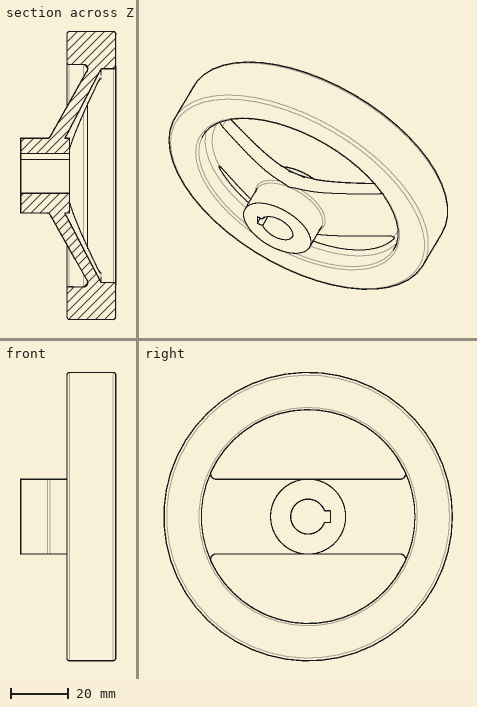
import cadquery as cq
import math

rim_radius = 50.0
rim_inner_radius = 38.5
rim_front = 16.0
rim_back = 33.0
rim_outer_fillet = 1.0
rim_inner_fillet = 0.8

hub_radius = 13.0
hub_back = 17.0
bore_radius = 6.0
key_width = 4.0
key_reach = 7.7

web_front_at_hub = 9.9
web_back_at_hub = 15.4
web_front_slope = 0.56
web_back_slope = 0.52
web_rim_fillet = 1.4
web_hub_fillet = 1.0

spoke_width = 2 * hub_radius
window_radius = 37.0
window_corner_radius = 1.8


def wheel_blank():
    """Revolve the hub, web and rim section about the X axis."""
    web_front_at_rim = web_front_at_hub + web_front_slope * (rim_inner_radius - hub_radius)
    web_back_at_rim = web_back_at_hub + web_back_slope * (window_radius - hub_radius)
    section = (
        cq.Workplane("XY")
        .moveTo(0, 0)
        .lineTo(0, hub_radius)
        .lineTo(web_front_at_hub, hub_radius)
        .lineTo(web_front_at_rim, rim_inner_radius)
        .lineTo(rim_front, rim_inner_radius)
        .lineTo(rim_front, rim_radius)
        .lineTo(rim_back, rim_radius)
        .lineTo(rim_back, window_radius)
        .lineTo(web_back_at_rim, window_radius)
        .lineTo(web_back_at_hub, hub_radius)
        .lineTo(hub_back, hub_radius)
        .lineTo(hub_back, 0)
        .close()
    )
    blank = section.revolve(360, (0, 0, 0), (1, 0, 0))

    def fillet_circles(body, radius, positions, size):
        """Round the circular edges of one radius at the given X positions."""
        def matches(edge):
            if edge.geomType() != "CIRCLE":
                return False
            same_radius = math.isclose(edge.radius(), radius, abs_tol=0.01)
            x = edge.arcCenter().x
            return same_radius and any(math.isclose(x, p, abs_tol=0.01) for p in positions)

        return body.newObject(list(filter(matches, body.edges().vals()))).fillet(size)

    blank = fillet_circles(blank, rim_radius, (rim_front, rim_back), rim_outer_fillet)
    blank = fillet_circles(blank, rim_inner_radius, (rim_front,), rim_inner_fillet)
    blank = fillet_circles(blank, window_radius, (rim_back,), rim_inner_fillet)
    blank = fillet_circles(blank, rim_inner_radius, (web_front_at_rim,), web_rim_fillet)
    return fillet_circles(blank, hub_radius, (web_front_at_hub,), web_hub_fillet)


def spoke_windows():
    """Two circle segments, with rounded corners, above and below the spoke."""
    disc = cq.Workplane("YZ").circle(window_radius).extrude(rim_back)
    spoke_bar = cq.Workplane("YZ").rect(2 * rim_radius, spoke_width).extrude(rim_back)
    return disc.cut(spoke_bar).edges("|X").fillet(window_corner_radius)


def bore_and_keyway():
    """Through bore with a rectangular keyway on its +Y side."""
    bore = cq.Workplane("YZ").circle(bore_radius).extrude(hub_back)
    keyway = (
        cq.Workplane("YZ")
        .center(key_reach / 2, 0)
        .rect(key_reach, key_width)
        .extrude(hub_back)
    )
    return bore.union(keyway)


result = wheel_blank().cut(spoke_windows()).cut(bore_and_keyway())